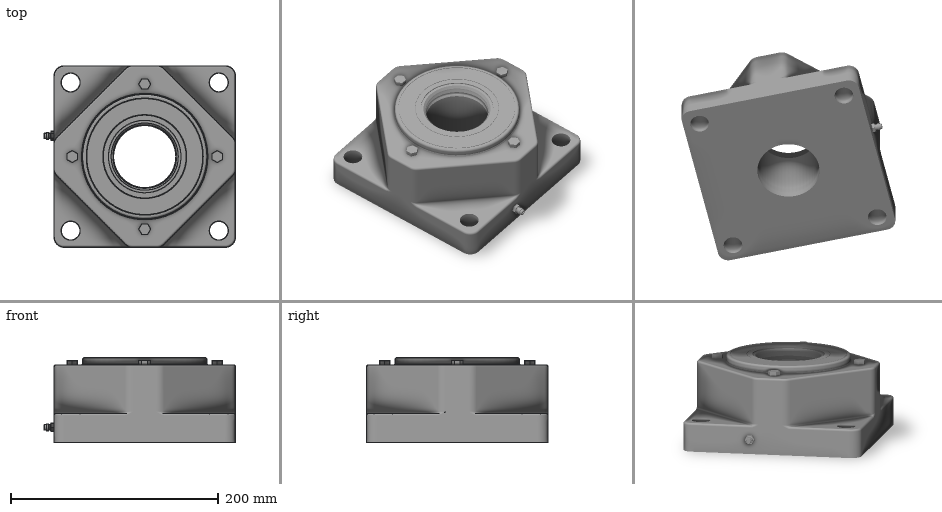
import cadquery as cq
import math

flange_side = 175.2
flange_half = flange_side / 2
flange_height = 28.0
corner_radius = 10.0
edge_fillet = 2.0
mounting_hole_diameter = 18.0
mounting_hole_pitch = 143.0

housing_height = 75.0
housing_diagonal_width = 146.0
foot_fillet = 1.5
foot_overlap = 1.0
quarter_turns = (0, 90, 180, 270)

cover_top = 82.0
cover_radius = 60.0
cover_foot = 1.0
cover_fillet = 2.0
cover_groove_radii = (40.25, 56.25)
cover_groove_width = 0.5
cover_groove_depth = 0.5

bore_radius = 30.0
bore_chamfer = 1.0
bearing_face_depth = 12.0
cavity_radius = 36.0
lip_bottom_radius = 30.4
lip_bottom_depth = 3.2
lip_top_radius = 32.4
lower_lip_bottom_depth = 8.0
lower_lip_top_radius = 33.0
recess_radius = 35.0
recess_depth = 1.0

bolt_circle_radius = 70.0
bolt_count = 4
bolt_width_across_flats = 10.0
bolt_head_height = 4.0

nipple_y = 20.0
nipple_z = 14.7
nipple_width_across_flats = 8.0
nipple_hex_length = 2.9
nipple_length = 9.6
nipple_shoulder_radius = 3.25
nipple_neck_radius = 2.73
nipple_collar_radius = 3.32
nipple_tip_radius = 2.46
nipple_neck_start = 3.6
nipple_collar_start = 5.4
nipple_collar_end = 7.4
nipple_tip_chamfer = 0.5
nipple_hole_diameter = 3.0
nipple_hole_depth = 1.0


def across_corners(across_flats):
    """Diameter of the circle through the corners of a hexagon."""
    return across_flats / math.cos(math.pi / 6)


def make_flange():
    flange = cq.Workplane("XY").rect(flange_side, flange_side).extrude(flange_height)
    return flange.edges("|Z").fillet(corner_radius)


def make_housing():
    square = cq.Workplane("XY").rect(flange_side, flange_side).extrude(housing_height)
    diagonal_square = (
        cq.Workplane("XY")
        .rect(housing_diagonal_width, housing_diagonal_width)
        .extrude(housing_height)
        .rotate((0, 0, 0), (0, 0, 1), 45)
    )
    housing = square.intersect(diagonal_square).edges("|Z").fillet(corner_radius)
    return housing.faces(">Z").edges().fillet(edge_fillet)


def foot_profile(wall):
    """Concave fillet section against a wall at the given X, sunk a little into both bodies."""
    return (
        cq.Workplane("XZ")
        .moveTo(wall - foot_overlap, flange_height - foot_overlap)
        .lineTo(wall + foot_fillet, flange_height - foot_overlap)
        .lineTo(wall + foot_fillet, flange_height)
        .radiusArc((wall, flange_height + foot_fillet), foot_fillet)
        .lineTo(wall - foot_overlap, flange_height + foot_fillet)
        .close()
    )


def make_foot():
    """Concave fillet along one diagonal wall and around its two rounded ends."""
    wall = housing_diagonal_width / 2
    round_far = flange_half - corner_radius
    round_near = wall * math.sqrt(2) - flange_half - corner_radius * math.tan(math.pi / 8)
    wall_half_length = (round_far - round_near) / math.sqrt(2)
    foot = foot_profile(wall).extrude(wall_half_length, both=True)
    foot = foot.rotate((0, 0, 0), (0, 0, 1), 45)
    round_foot = foot_profile(corner_radius).revolve(45, (0, 0, 0), (0, 1, 0))
    round_ends = (
        (round_far, round_near, 0),
        (round_near, round_far, 45),
    )
    for x, y, turn in round_ends:
        foot = foot.union(round_foot.rotate((0, 0, 0), (0, 0, 1), turn).translate((x, y, 0)))
    inside_flange = cq.Workplane("XY").rect(flange_side, flange_side).extrude(housing_height)
    return foot.intersect(inside_flange)


def make_body():
    """Flange and housing, with the housing foot and the flange's upper edge rounded."""
    body = make_flange().union(make_housing())
    foot = make_foot()
    for angle in quarter_turns:
        body = body.union(foot.rotate((0, 0, 0), (0, 0, 1), angle))
    rim = cq.Workplane("XY")
    for x_side in (-1, 1):
        for y_side in (-1, 1):
            corner = (x_side * flange_half, y_side * flange_half, flange_height)
            rim = rim.add(body.edges(cq.NearestToPointSelector(corner)))
    return body.newObject(rim.vals()).fillet(edge_fillet)


def make_cover():
    foot_radius = cover_radius + cover_foot
    cover = (
        cq.Workplane("XZ")
        .moveTo(0, housing_height)
        .lineTo(foot_radius, housing_height)
        .lineTo(cover_radius, housing_height + cover_foot)
        .lineTo(cover_radius, cover_top - cover_fillet)
        .radiusArc((cover_radius - cover_fillet, cover_top), -cover_fillet)
        .lineTo(0, cover_top)
        .close()
        .revolve(360, (0, 0, 0), (0, 1, 0))
    )
    for radius in cover_groove_radii:
        groove = (
            cq.Workplane("XY", origin=(0, 0, cover_top - cover_groove_depth))
            .circle(radius + cover_groove_width / 2)
            .circle(radius - cover_groove_width / 2)
            .extrude(cover_groove_depth)
        )
        cover = cover.cut(groove)
    return cover


def make_bore():
    recess_z = cover_top - recess_depth
    lip_z = cover_top - lip_bottom_depth
    lower_lip_z = cover_top - lower_lip_bottom_depth
    bearing_z = cover_top - bearing_face_depth
    outline = [
        (0, 0),
        (bore_radius, 0),
        (bore_radius, bearing_z - bore_chamfer),
        (bore_radius + bore_chamfer, bearing_z),
        (cavity_radius, bearing_z),
        (cavity_radius, lower_lip_z),
        (lip_bottom_radius, lower_lip_z),
        (lower_lip_top_radius, lip_z),
        (lip_bottom_radius, lip_z),
        (lip_top_radius, recess_z),
        (recess_radius, recess_z),
        (recess_radius, cover_top),
        (0, cover_top),
    ]
    return cq.Workplane("XZ").polyline(outline).close().revolve(360, (0, 0, 0), (0, 1, 0))


def make_bolt_heads():
    """Hexagon heads, each with two corners square to its radius line."""
    heads = cq.Workplane("XY")
    for index in range(bolt_count):
        head = (
            cq.Workplane("XY", origin=(0, -bolt_circle_radius, housing_height))
            .polygon(6, across_corners(bolt_width_across_flats))
            .extrude(bolt_head_height)
            .rotate((0, 0, 0), (0, 0, 1), index * 360 / bolt_count)
        )
        heads = heads.add(head)
    return heads.combine()


def make_nipple():
    """Grease nipple, with its axis along -X and its hexagon on the flange side."""
    side = cq.Workplane("YZ", origin=(-flange_half, nipple_y, nipple_z))
    hexagon = side.polygon(6, across_corners(nipple_width_across_flats)).extrude(-nipple_hex_length)
    outline = [
        (0, 0),
        (0, nipple_shoulder_radius),
        (nipple_hex_length, nipple_shoulder_radius),
        (nipple_neck_start, nipple_neck_radius),
        (nipple_collar_start, nipple_neck_radius),
        (nipple_collar_start, nipple_collar_radius),
        (nipple_collar_end, nipple_collar_radius),
        (nipple_collar_end, nipple_neck_radius),
        (nipple_length - nipple_tip_chamfer, nipple_neck_radius),
        (nipple_length, nipple_tip_radius),
        (nipple_length, 0),
    ]
    stem = (
        cq.Workplane("XY", origin=(-flange_half, nipple_y, nipple_z))
        .polyline([(-distance, radius) for distance, radius in outline])
        .close()
        .revolve(360, (0, 0, 0), (1, 0, 0))
    )
    nipple = hexagon.union(stem)
    hole = (
        cq.Workplane("YZ", origin=(-flange_half - nipple_length, nipple_y, nipple_z))
        .circle(nipple_hole_diameter / 2)
        .extrude(nipple_hole_depth)
    )
    return nipple.cut(hole)


def make_mounting_holes():
    return (
        cq.Workplane("XY")
        .rect(mounting_hole_pitch, mounting_hole_pitch, forConstruction=True)
        .vertices()
        .circle(mounting_hole_diameter / 2)
        .extrude(flange_height)
    )


result = make_body().union(make_cover())
result = result.union(make_bolt_heads())
result = result.union(make_nipple())
result = result.cut(make_bore())
result = result.cut(make_mounting_holes())